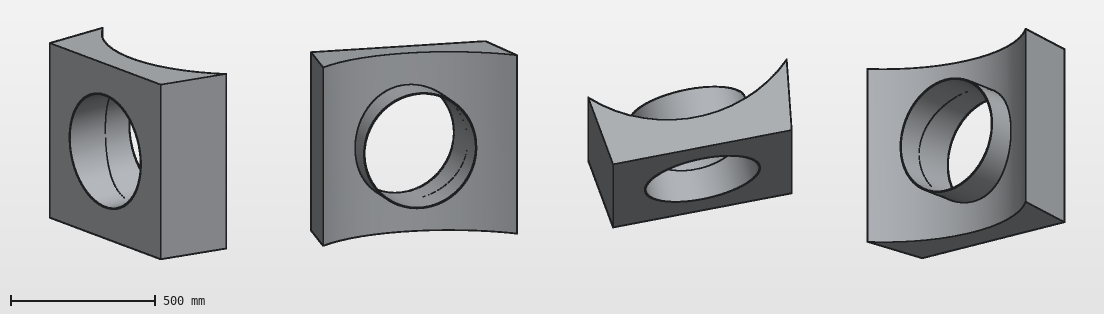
import cadquery as cq

rear_width = 700.0
front_width = 630.0
height = 630.0
corner_depth = 258.0
throat_depth = 113.0

pipe_length = 260.0
pipe_outer_diameter = 407.5
pipe_wall = 3.5


def pipe_blank(diameter):
    """Solid cylinder along +Y from the front face, at mid-height of the block."""
    axis_start = cq.Vector(0, 0, height / 2)
    along_y = cq.Vector(0, 1, 0)
    return cq.Workplane(cq.Solid.makeCylinder(diameter / 2, pipe_length, axis_start, along_y))


def make_saddle_block():
    """Tapered block with a concave cylindrical rear and a bore for the pipe."""
    block = (
        cq.Workplane("XY")
        .moveTo(-front_width / 2, 0)
        .lineTo(front_width / 2, 0)
        .lineTo(rear_width / 2, corner_depth)
        .threePointArc((0, throat_depth), (-rear_width / 2, corner_depth))
        .close()
        .extrude(height)
    )
    return block.cut(pipe_blank(pipe_outer_diameter))


def make_pipe():
    """Thin-walled straight pipe, flush with the front face of the block."""
    bore_diameter = pipe_outer_diameter - 2 * pipe_wall
    return pipe_blank(pipe_outer_diameter).cut(pipe_blank(bore_diameter))


saddle_block = make_saddle_block()
pipe = make_pipe()

result = cq.Compound.makeCompound([saddle_block.val(), pipe.val()])